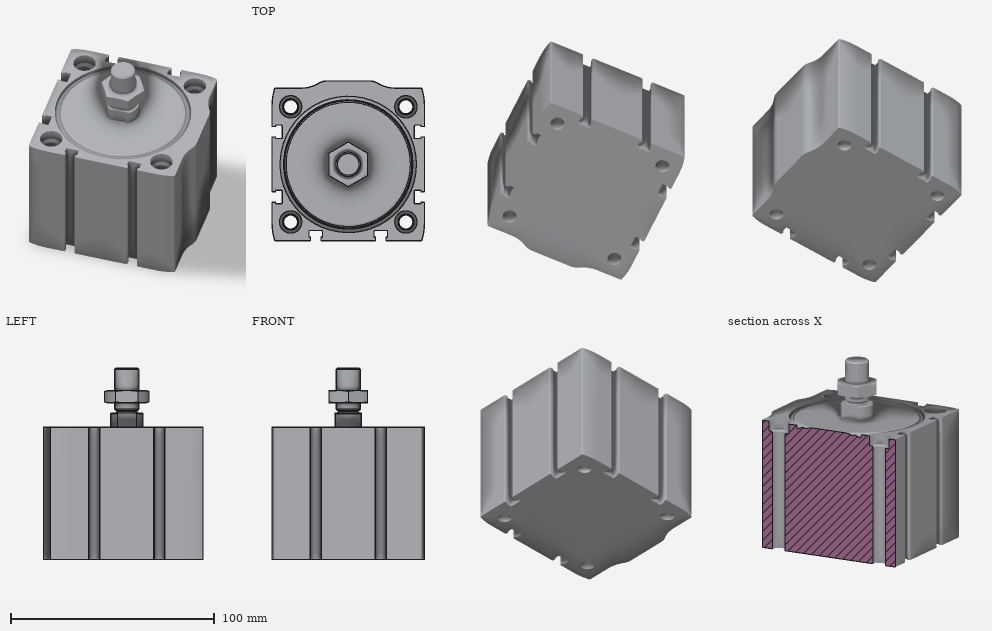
import cadquery as cq
import math

body_size = 75.0
body_height = 65.0
overall_height = 94.0
half = body_size / 2

side_flat_half = 28.5
side_arc_radius = 30.0
corner_radius = 0.8

hump_height = 3.5
hump_top_half = 10.5
hump_crest_radius = 8.0
hump_foot_radius = 16.0

slot_offset = 16.0
slot_neck_width = 5.0
slot_neck_depth = 1.8
slot_width = 6.5
slot_depth = 5.0
slot_corner_radius = 0.3
slot_mouth_chamfer = 0.3

bolt_pitch = 56.6
bolt_hole_diameter = 6.8
bolt_mouth_diameter = 8.0
counterbore_diameter = 11.0
counterbore_depth = 5.0

groove_diameter = 67.0
groove_depth = 1.8
crest_diameter = 63.6
crest_depth = 0.5
bore_diameter = 63.0
cover_rim_diameter = 62.4
cover_shoulder_diameter = 61.0
cover_shoulder_depth = 0.4
cover_diameter = 59.5
cover_recess = 0.2
lip_diameter = 18.1

rod_diameter = 16.0
rod_insertion = 20.0
rod_shoulder_height = 7.0
rod_edge_chamfer = 0.4
rod_flat_width = 13.0
rod_flat_start = 0.2
thread_diameter = 12.0
thread_tip_diameter = 10.65
neck_diameter = 9.8
neck_foot_diameter = 11.0
thread_start_height = 8.9

nut_across_flats = 19.0
nut_thickness = 6.0
nut_base_height = 12.0
nut_face_diameter = 18.8
nut_chamfer_angle = 15.0
nut_sides = 6


def housing_profile():
    """Half outline on the +X side, mirrored about the YZ plane."""
    side_sweep = math.asin((half - side_flat_half) / side_arc_radius)
    mid_sweep = side_sweep / 2
    corner_x = half - side_arc_radius * (1 - math.cos(side_sweep))
    side_mid_x = half - side_arc_radius * (1 - math.cos(mid_sweep))
    side_mid_y = side_flat_half + side_arc_radius * math.sin(mid_sweep)

    hump_radii = hump_crest_radius + hump_foot_radius
    hump_sweep = math.acos(1 - hump_height / hump_radii)
    hump_foot_half = hump_top_half + hump_radii * math.sin(hump_sweep)
    hump_top = half + hump_height
    join_x = hump_top_half + hump_crest_radius * math.sin(hump_sweep)
    join_y = hump_top - hump_crest_radius * (1 - math.cos(hump_sweep))
    foot_mid_x = hump_foot_half - hump_foot_radius * math.sin(hump_sweep / 2)
    foot_mid_y = half + hump_foot_radius * (1 - math.cos(hump_sweep / 2))
    crest_mid_x = hump_top_half + hump_crest_radius * math.sin(hump_sweep / 2)
    crest_mid_y = hump_top - hump_crest_radius * (1 - math.cos(hump_sweep / 2))

    return (
        cq.Workplane("XY")
        .moveTo(0, -half)
        .lineTo(corner_x, -half)
        .threePointArc((side_mid_x, -side_mid_y), (half, -side_flat_half))
        .lineTo(half, side_flat_half)
        .threePointArc((side_mid_x, side_mid_y), (corner_x, half))
        .lineTo(hump_foot_half, half)
        .threePointArc((foot_mid_x, foot_mid_y), (join_x, join_y))
        .threePointArc((crest_mid_x, crest_mid_y), (hump_top_half, hump_top))
        .lineTo(0, hump_top)
        .mirrorY()
    )


def extruded_body():
    body = housing_profile().extrude(body_height)
    corner_zone = (half - side_flat_half) / 2
    for x in (-half, half):
        for y in (-half, half):
            corner = cq.selectors.BoxSelector(
                (x - corner_zone, y - corner_zone, 0),
                (x + corner_zone, y + corner_zone, body_height),
            )
            body = body.edges("|Z").edges(corner).fillet(corner_radius)
    return body


def sensor_slot():
    """T-slot cut into the -Y side at X = 0."""
    neck = cq.Workplane("XY").box(
        slot_neck_width, slot_depth, body_height, centered=(True, False, False)
    )
    cavity_depth = slot_depth - slot_neck_depth
    cavity = (
        cq.Workplane("XY")
        .box(slot_width, cavity_depth, body_height, centered=(True, False, False))
        .edges("|Z")
        .fillet(slot_corner_radius)
        .translate((0, slot_neck_depth, 0))
    )
    mouth_half = slot_neck_width / 2
    mouth = (
        cq.Workplane("XY")
        .polyline([
            (-mouth_half - slot_mouth_chamfer, 0),
            (mouth_half + slot_mouth_chamfer, 0),
            (mouth_half, slot_mouth_chamfer),
            (-mouth_half, slot_mouth_chamfer),
        ])
        .close()
        .extrude(body_height)
    )
    return neck.union(cavity).union(mouth).translate((0, -half, 0))


def sensor_slots():
    slots = cq.Workplane("XY")
    for angle in (-90, 0, 90):
        for offset in (-slot_offset, slot_offset):
            slot = sensor_slot().translate((offset, 0, 0))
            slots = slots.add(slot.rotate((0, 0, 0), (0, 0, 1), angle))
    return slots


def bolt_hole_cutter():
    hole_radius = bolt_hole_diameter / 2
    mouth_radius = bolt_mouth_diameter / 2
    counterbore_radius = counterbore_diameter / 2
    floor = body_height - counterbore_depth
    return (
        cq.Workplane("XZ")
        .polyline([
            (0, 0),
            (hole_radius, 0),
            (hole_radius, floor - (mouth_radius - hole_radius)),
            (mouth_radius, floor),
            (counterbore_radius, floor),
            (counterbore_radius, body_height),
            (0, body_height),
        ])
        .close()
        .revolve(360, (0, 0, 0), (0, 1, 0))
    )


def cover_cutter():
    """Material removed above the rod cover: ring groove, cover edge, recess and lip."""
    bore_radius = bore_diameter / 2
    bore_mouth_depth = crest_depth + (crest_diameter - bore_diameter) / 2
    cover_edge_depth = cover_shoulder_depth + (cover_rim_diameter - cover_shoulder_diameter) / 2
    return (
        cq.Workplane("XZ", origin=(0, 0, body_height))
        .polyline([
            (groove_diameter / 2, 0),
            (groove_diameter / 2, -groove_depth),
            (crest_diameter / 2, -crest_depth),
            (bore_radius, -bore_mouth_depth),
            (bore_radius, -cover_edge_depth),
            (cover_rim_diameter / 2, -cover_edge_depth),
            (cover_shoulder_diameter / 2, -cover_shoulder_depth),
            (cover_diameter / 2, -cover_recess),
            (lip_diameter / 2, -cover_recess),
            (rod_diameter / 2, 0),
        ])
        .close()
        .revolve(360, (0, 0, 0), (0, 1, 0))
    )


def make_housing():
    rod_hole = (
        cq.Workplane("XY", origin=(0, 0, body_height - rod_insertion))
        .circle(rod_diameter / 2)
        .extrude(rod_insertion)
    )
    housing = extruded_body().cut(rod_hole).cut(cover_cutter())
    for slot in sensor_slots().vals():
        housing = housing.cut(cq.Workplane(slot))
    for x in (-bolt_pitch / 2, bolt_pitch / 2):
        for y in (-bolt_pitch / 2, bolt_pitch / 2):
            housing = housing.cut(bolt_hole_cutter().translate((x, y, 0)))
    return housing


def make_rod():
    rod_radius = rod_diameter / 2
    thread_radius = thread_diameter / 2
    neck_radius = neck_diameter / 2
    tip_radius = thread_tip_diameter / 2
    thread_chamfer = thread_radius - tip_radius
    tip_height = overall_height - body_height
    rod = (
        cq.Workplane("XZ", origin=(0, 0, body_height))
        .polyline([
            (0, -rod_insertion),
            (rod_radius, -rod_insertion),
            (rod_radius, rod_shoulder_height - rod_edge_chamfer),
            (rod_radius - rod_edge_chamfer, rod_shoulder_height),
            (neck_foot_diameter / 2, rod_shoulder_height),
            (neck_radius, rod_shoulder_height + (neck_foot_diameter - neck_diameter) / 2),
            (neck_radius, thread_start_height - thread_chamfer),
            (tip_radius, thread_start_height - thread_chamfer),
            (thread_radius, thread_start_height),
            (thread_radius, tip_height - thread_chamfer),
            (tip_radius, tip_height),
            (0, tip_height),
        ])
        .close()
        .revolve(360, (0, 0, 0), (0, 1, 0))
    )
    flat_depth = (rod_diameter - rod_flat_width) / 2
    flat_centre = (rod_flat_width + flat_depth) / 2
    flat_level = body_height + rod_flat_start
    for side in (-1, 1):
        flat = cq.Workplane("XY", origin=(side * flat_centre, 0, flat_level)).box(
            flat_depth, rod_diameter, rod_shoulder_height, centered=(True, True, False)
        )
        rod = rod.cut(flat)
    return rod


def make_nut():
    nut_corner_reach = nut_across_flats / 2 / math.cos(math.pi / nut_sides)
    face_radius = nut_face_diameter / 2
    corner_drop = (nut_corner_reach - face_radius) * math.tan(math.radians(nut_chamfer_angle))
    prism = (
        cq.Workplane("XY")
        .polygon(nut_sides, 2 * nut_corner_reach)
        .extrude(nut_thickness)
        .rotate((0, 0, 0), (0, 0, 1), 180 / nut_sides)
    )
    chamfered_blank = (
        cq.Workplane("XZ")
        .polyline([
            (0, 0),
            (face_radius, 0),
            (nut_corner_reach, corner_drop),
            (nut_corner_reach, nut_thickness - corner_drop),
            (face_radius, nut_thickness),
            (0, nut_thickness),
        ])
        .close()
        .revolve(360, (0, 0, 0), (0, 1, 0))
    )
    thread_hole = cq.Workplane("XY").circle(thread_diameter / 2).extrude(nut_thickness)
    nut = prism.intersect(chamfered_blank).cut(thread_hole)
    return nut.translate((0, 0, body_height + nut_base_height))


housing = make_housing()
rod = make_rod()
nut = make_nut()
result = cq.Compound.makeCompound([housing.val(), rod.val(), nut.val()])